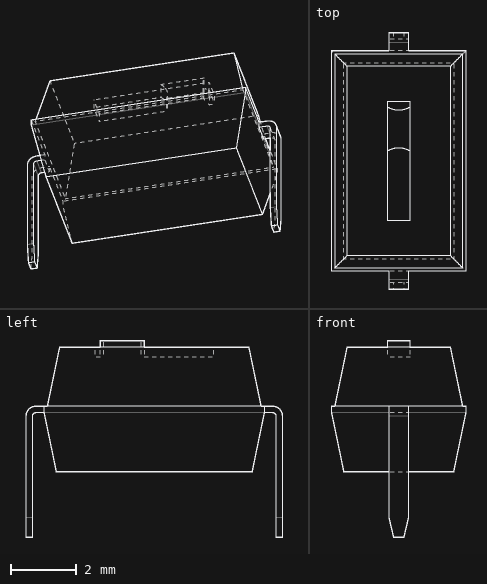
import cadquery as cq
import math

flange_width = 4.1
flange_length = 6.72
flange_thickness = 0.2
lower_half_height = 1.8
upper_half_height = 1.8
ledge_width = 0.1
draft_angle = 11.7

slot_width = 0.7
slot_length = 3.62
slot_depth = 0.3
slider_start = 0.3
slider_end = 1.65
slider_end_sag = 0.1
slider_projection = 0.2

lead_span = 7.82
lead_width = 0.6
lead_thickness = 0.2
lead_bend_radius = 0.3
lead_drop = 2.0
lead_tip_width = 0.32
lead_tip_height = 0.6
lead_embedment = 0.5

flange_bottom = lower_half_height
flange_top = flange_bottom + flange_thickness
body_top = flange_top + upper_half_height
slot_floor = body_top - slot_depth


def drafted_half(width, length, start_z, height):
    """Pyramid frustum from start_z, narrowing away from the flange; height is signed."""
    inset = abs(height) * math.tan(math.radians(draft_angle))
    return (
        cq.Workplane("XY", origin=(0, 0, start_z))
        .rect(width, length)
        .workplane(offset=height)
        .rect(width - 2 * inset, length - 2 * inset)
        .loft(ruled=True)
    )


def make_body():
    flange = (
        cq.Workplane("XY", origin=(0, 0, flange_bottom))
        .rect(flange_width, flange_length)
        .extrude(flange_thickness)
    )
    lower = drafted_half(flange_width, flange_length, flange_bottom, -lower_half_height)
    upper = drafted_half(
        flange_width - 2 * ledge_width,
        flange_length - 2 * ledge_width,
        flange_top,
        upper_half_height,
    )
    slot = (
        cq.Workplane("XY", origin=(0, 0, slot_floor))
        .rect(slot_width, slot_length)
        .extrude(slot_depth)
    )
    return flange.union(lower).union(upper).cut(slot)


def make_slider():
    """Block as wide as the slot, with a hollow arc across each end."""
    half_width = slot_width / 2
    return (
        cq.Workplane("XY", origin=(0, 0, slot_floor))
        .moveTo(-half_width, slider_start)
        .threePointArc((0, slider_start + slider_end_sag), (half_width, slider_start))
        .lineTo(half_width, slider_end)
        .threePointArc((0, slider_end - slider_end_sag), (-half_width, slider_end))
        .close()
        .extrude(slot_depth + slider_projection)
    )


def make_lead():
    """Lead at the +Y end: the bent strip trimmed to its pointed front outline."""
    outer_y = lead_span / 2
    inner_y = outer_y - lead_thickness
    root_y = flange_length / 2 - lead_embedment
    bend_y = outer_y - lead_bend_radius
    bend_z = flange_top - lead_bend_radius
    inner_bend_radius = lead_bend_radius - lead_thickness
    strip = (
        cq.Workplane("YZ")
        .moveTo(root_y, flange_top)
        .lineTo(bend_y, flange_top)
        .radiusArc((outer_y, bend_z), lead_bend_radius)
        .lineTo(outer_y, -lead_drop)
        .lineTo(inner_y, -lead_drop)
        .lineTo(inner_y, bend_z)
        .radiusArc((bend_y, flange_bottom), -inner_bend_radius)
        .lineTo(root_y, flange_bottom)
        .close()
        .extrude(lead_width / 2, both=True)
    )
    tip_top = lead_tip_height - lead_drop
    outline = (
        cq.Workplane("XZ")
        .polyline([
            (-lead_width / 2, flange_top),
            (lead_width / 2, flange_top),
            (lead_width / 2, tip_top),
            (lead_tip_width / 2, -lead_drop),
            (-lead_tip_width / 2, -lead_drop),
            (-lead_width / 2, tip_top),
        ])
        .close()
        .extrude(-lead_span)
    )
    return strip.intersect(outline)


lead = make_lead()
result = make_body().union(make_slider()).union(lead).union(lead.mirror("XZ"))